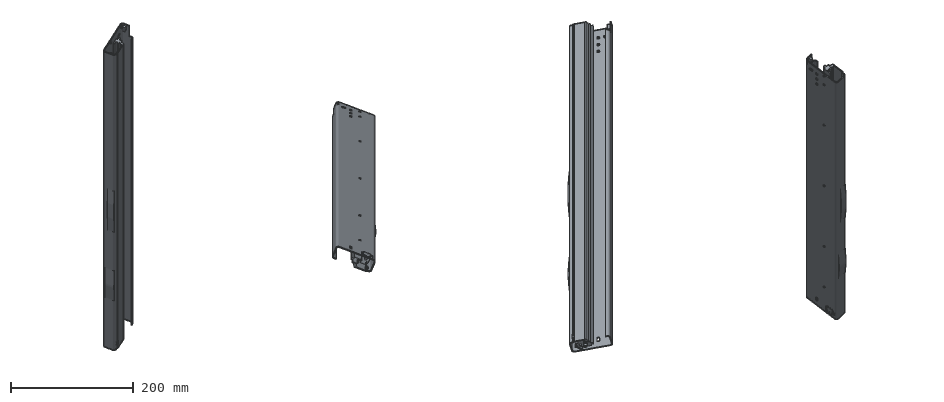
import cadquery as cq

pin_drop = 0.8
overall_length = 750.0
rail_length = overall_length - pin_drop
overall_depth = 70.8
rail_depth = 68.8
rail_width = 24.0
sheet = 1.8
bend_radius = 4.5
inner_radius = bend_radius - sheet

flange_width = 22.7
hook_depth = 7.5
lip_step = 8.0
lip_top = 26.5
overlap = 0.5

pad_right = 21.0
pad_height = overall_depth - rail_depth
long_pad = (301.0, 405.0, 336.0, 371.5, 9.2)
short_pad = (127.0, 202.5, 161.0, 165.5, 4.6)

guide_hole_diameter = 3.7
fixing_diameter = 4.5
guide_hole_y = 28.0
guide_hole_heights = (74.5, 202.5, 394.5, 586.5, 714.5, 741.5)
fixing_y = 44.0
fixing_heights = (698.5, 714.5, 730.5)
cross_slot_y = 56.5
cross_slot_length = 7.0
lower_slot_height = 18.5
lower_slot_length = 9.0

tab_height = 11.0
tab_below_top = 0.5
flange_cutback = 26.0
flange_end_width = 14.5
bend_slot = (64.8, 67.0, 738.0, 745.0)
bend_slot_depth = 3.0
tab_left = 6.3
tab_right = 10.0
tab_depth = 7.5

strip_left = 7.8
strip_right = 18.2
strip_top = 34.6
strip_web = 28.0
leg_width = 2.2
long_leg_bottom = 21.5
short_leg_left = 14.3
short_leg_bottom = 25.4
crest_left = 10.2
crest_right = 13.6
crest_top = 38.0
arm_root_top = 32.0
arm_top = 29.2
arm_left = 19.5
pin_diameter = 1.6
pin_x = 17.2
pin_y = 32.6
pin_length = 6.0

block_bottom = 8.0
block_top = 21.5
block_high_y = 22.0
block_step_y = 12.5
block_low_y = 9.0
block_width = 15.6
block_foot_width = 10.6
block_bore_diameter = 4.0
block_bore_x = 6.2
block_bore_y = 15.2
plug_low_y = 9.8
window_notch_low_y = 5.2
window_notch_high_y = 24.8
window_notch_bottom = 10.0
window_notch_top = 17.5
foot_tabs = ((9.8, 24.8, 6.0), (13.0, 17.0, 3.2))


def box(x0, x1, y0, y1, z0, z1):
    """Box between opposite corners."""
    return cq.Workplane("XY").box(x1 - x0, y1 - y0, z1 - z0, centered=False).translate((x0, y0, z0))


def rail_channel():
    """C section with a turned-down hook on its top flange."""
    outer = box(0, flange_width, 0, rail_depth, 0, rail_length).edges("|Z").fillet(bend_radius)
    cavity = box(sheet, flange_width - sheet, sheet, rail_depth - sheet, 0, rail_length)
    cavity = cavity.edges("|Z").fillet(inner_radius)
    mouth = box(
        flange_width - sheet - overlap, rail_width, lip_step, rail_depth - hook_depth, 0, rail_length
    )
    return outer.cut(cavity).cut(mouth)


def rail_lip():
    """Step outward from the bottom flange, then an upright lip."""
    inner = flange_width - sheet
    lip_inner = rail_width - sheet
    outline = [
        (inner, lip_step - sheet),
        (flange_width, lip_step - sheet),
        (rail_width, lip_step),
        (rail_width, lip_top),
        (lip_inner, lip_top),
        (lip_inner, lip_step + sheet),
        (inner, lip_step + overlap),
    ]
    return cq.Workplane("XY").polyline(outline).close().extrude(rail_length)


def flange_pad(low, high, flat_low, flat_high, left):
    """Shallow pad with sloping ends, rooted through the bottom flange so it also covers the bend."""
    outline = [
        (sheet, low),
        (0, low),
        (-pad_height, flat_low),
        (-pad_height, flat_high),
        (0, high),
        (sheet, high),
    ]
    pad = cq.Workplane("YZ").polyline(outline).close().extrude(pad_right - left)
    return pad.translate((left, 0, 0))


def wall_cutters():
    """Round holes and slots through the back wall."""
    guide_holes = [(guide_hole_y, z) for z in guide_hole_heights]
    fixing_holes = [(fixing_y, z) for z in fixing_heights]
    cutters = cq.Workplane("YZ").pushPoints(guide_holes).circle(guide_hole_diameter / 2).extrude(sheet)
    holes = cq.Workplane("YZ").pushPoints(fixing_holes).circle(fixing_diameter / 2)
    cross_slot = cq.Workplane("YZ").center(cross_slot_y, fixing_heights[-1])
    cross_slot = cross_slot.slot2D(cross_slot_length, fixing_diameter)
    lower_slot = cq.Workplane("YZ").center(fixing_y, lower_slot_height)
    lower_slot = lower_slot.slot2D(lower_slot_length, fixing_diameter, 90)
    for outline in (holes, cross_slot, lower_slot):
        cutters = cutters.union(outline.extrude(sheet))
    return cutters


def window_cutters():
    """Window for the latch plug with an open notch on each side; the lower notch also crosses the lip."""
    window = box(0, sheet, plug_low_y, block_high_y, block_bottom, block_top)
    for low, high, bottom in foot_tabs:
        window = window.union(box(0, sheet, low, high, bottom, block_bottom))
    heights = (window_notch_bottom, window_notch_top)
    low_notch = box(0, rail_width, window_notch_low_y, plug_low_y, *heights)
    high_notch = box(0, sheet, block_high_y, window_notch_high_y, *heights)
    return window.union(low_notch).union(high_notch)


def make_rail():
    rail = rail_channel().union(rail_lip())
    for pad in (long_pad, short_pad):
        rail = rail.union(flange_pad(*pad))
    cutback_start = rail_length - flange_cutback
    cutback = box(
        flange_end_width, flange_width, rail_depth - hook_depth, rail_depth, cutback_start, rail_length
    )
    bend_cutter = box(0, bend_slot_depth, *bend_slot)
    rail = rail.cut(cutback).cut(bend_cutter)
    tab_top = rail_length - tab_below_top
    tab = box(
        tab_left, tab_right, rail_depth - tab_depth, rail_depth - sheet / 2, tab_top - tab_height, tab_top
    )
    return rail.union(tab).cut(wall_cutters()).cut(window_cutters())


def guide_strip():
    """Two-legged strip with a crest on top and a sloping arm seated on the rail's lip."""
    outline = [
        (strip_left, long_leg_bottom),
        (strip_left, strip_top),
        (crest_left, strip_top),
        (crest_left, crest_top),
        (crest_right, crest_top),
        (crest_right, strip_top),
        (strip_right, strip_top),
        (strip_right, arm_root_top),
        (rail_width, arm_top),
        (rail_width, lip_top),
        (arm_left, lip_top),
        (short_leg_left + leg_width, arm_root_top - leg_width),
        (short_leg_left + leg_width, short_leg_bottom),
        (short_leg_left, short_leg_bottom),
        (short_leg_left, strip_web),
        (strip_left + leg_width, strip_web),
        (strip_left + leg_width, long_leg_bottom),
    ]
    return cq.Workplane("XY").polyline(outline).close().extrude(rail_length)


def latch_block():
    """L-shaped bored block with a plug flush with the outside of the back wall."""
    outline = [
        (sheet, block_low_y),
        (block_foot_width, block_low_y),
        (block_foot_width, block_step_y),
        (block_width, block_step_y),
        (block_width, block_high_y),
        (sheet, block_high_y),
    ]
    height = block_top - block_bottom
    block = cq.Workplane("XY").polyline(outline).close().extrude(height)
    bore = cq.Workplane("XY").center(block_bore_x, block_bore_y).circle(block_bore_diameter / 2)
    block = block.cut(bore.extrude(height)).translate((0, 0, block_bottom))
    plug = box(0, sheet, plug_low_y, block_high_y, block_bottom, block_top)
    return block.union(plug)


def make_guide():
    guide = guide_strip().union(latch_block())
    for low, high, bottom in foot_tabs:
        guide = guide.union(box(0, sheet, low, high, bottom, block_bottom))
    pin = cq.Workplane("XY").workplane(offset=-pin_drop).center(pin_x, pin_y)
    return guide.union(pin.circle(pin_diameter / 2).extrude(pin_length))


rail = make_rail()
guide = make_guide()
result = cq.Compound.makeCompound([rail.solids().val(), guide.solids().val()])